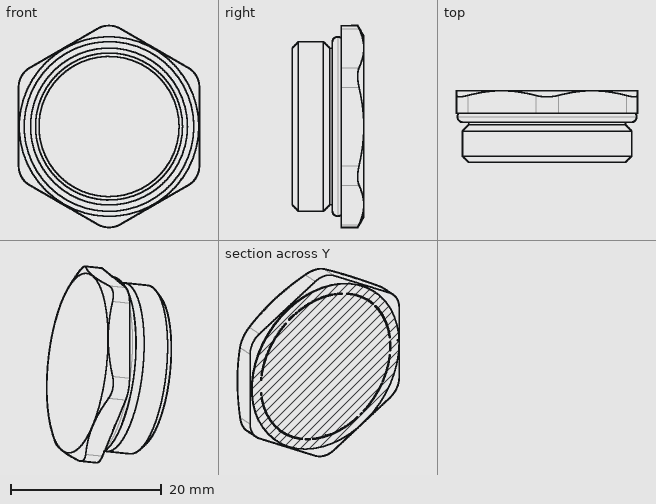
import cadquery as cq
import math

total_length = 9.5
across_flats = 24.0
across_rounded_corners = 26.78
head_thickness = 3.03
head_chamfer_angle = 30.0
head_face_radius = 11.97

neck_radius = 20.8 / 2
body_radius = 22.5 / 2
body_length = 4.15
body_chamfer = body_radius - neck_radius

seal_section_radius = 0.75
seal_ring_radius = neck_radius + seal_section_radius
seal_centre_offset = 0.43

recess_mouth_radius = 9.75
recess_floor_radius = 9.3
recess_depth = recess_mouth_radius - recess_floor_radius

front_y = -total_length / 2
back_y = total_length / 2
head_y = back_y - head_thickness


def revolve_profile(points):
    """Revolve a closed (radius, y) profile about the Y axis."""
    return cq.Workplane("XY").polyline(points).close().revolve(360, (0, 0, 0), (0, 1, 0))


def make_head():
    """Hexagon with rounded corners and a conical chamfer on its outer face."""
    corner_diameter = across_flats / math.cos(math.radians(30))
    tip_loss = (corner_diameter - across_rounded_corners) / 2
    corner_radius = tip_loss / (corner_diameter / across_flats - 1)
    hexagon = (
        cq.Workplane("XZ", origin=(0, back_y, 0))
        .transformed(rotate=(0, 0, 30))
        .polygon(6, corner_diameter)
        .extrude(head_thickness)
        .edges("|Y")
        .fillet(corner_radius)
    )
    cone_radius = corner_diameter / 2
    cone_drop = (cone_radius - head_face_radius) * math.tan(math.radians(head_chamfer_angle))
    envelope = revolve_profile([
        (0, head_y),
        (cone_radius, head_y),
        (cone_radius, back_y - cone_drop),
        (head_face_radius, back_y),
        (0, back_y),
    ])
    return hexagon.intersect(envelope)


def make_body():
    """Neck and cylindrical body, chamfered at both ends, with a shallow tapered recess."""
    return revolve_profile([
        (0, front_y + recess_depth),
        (recess_floor_radius, front_y + recess_depth),
        (recess_mouth_radius, front_y),
        (neck_radius, front_y),
        (body_radius, front_y + body_chamfer),
        (body_radius, front_y + body_length),
        (neck_radius, front_y + body_length + body_chamfer),
        (neck_radius, head_y),
        (0, head_y),
    ])


def make_seal():
    """O-ring seated on the neck and partly sunk into the head."""
    return (
        cq.Workplane("XY")
        .center(seal_ring_radius, head_y - seal_centre_offset)
        .circle(seal_section_radius)
        .revolve(360, (-seal_ring_radius, 0, 0), (-seal_ring_radius, 1, 0))
    )


result = make_head().union(make_body()).union(make_seal())